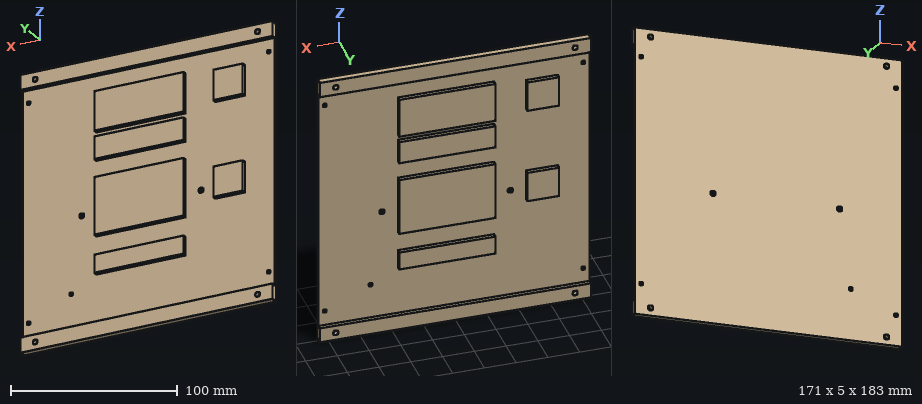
import cadquery as cq

width = 171.0
depth = 5.0
height = 183.0
plate_thickness = 2.0
bar_height = 10.0

large_diameter = 3.1
small_diameter = 2.2
corner_inset_x = 10.0
corner_inset_z = bar_height / 2
side_inset_x = 4.0
side_lower_z = 19.8
side_upper_z = 164.7
middle_left_x = 50.0
middle_right_x = 130.8
middle_z = 83.0
single_x = 138.0
single_z = 33.0

short_left = 20.1
short_right = 40.0
tall_left = 60.4
pad_right = 120.8
pads = [
    (tall_left, pad_right, 42.3, 54.2),
    (tall_left, pad_right, 67.3, 105.2),
    (short_left, short_right, 75.4, 95.3),
    (tall_left, pad_right, 117.1, 132.0),
    (tall_left, pad_right, 135.8, 161.8),
    (short_left, short_right, 139.0, 159.0),
]


def block(left, right, bottom, top, thickness):
    """Block whose front lies in the front face of the panel."""
    size = (right - left, thickness, top - bottom)
    return cq.Workplane("XY").box(*size, centered=False).translate((left, 0, bottom))


def drill(body, diameter, centers):
    """Cut round holes through the whole depth at the given (X, Z) places."""
    holes = cq.Workplane("XZ").pushPoints(centers).circle(diameter / 2).extrude(-depth)
    return body.cut(holes)


panel = block(0, width, 0, height, plate_thickness)
for bar_bottom in (0, height - bar_height):
    panel = panel.union(block(0, width, bar_bottom, bar_bottom + bar_height, depth))

for pad in pads:
    panel = panel.union(block(*pad, depth))

corner_centers = [
    (x, z)
    for x in (corner_inset_x, width - corner_inset_x)
    for z in (corner_inset_z, height - corner_inset_z)
]
middle_centers = [(middle_left_x, middle_z), (middle_right_x, middle_z)]
panel = drill(panel, large_diameter, corner_centers + middle_centers)

side_centers = [
    (x, z)
    for x in (side_inset_x, width - side_inset_x)
    for z in (side_lower_z, side_upper_z)
]
panel = drill(panel, small_diameter, side_centers + [(single_x, single_z)])

result = panel